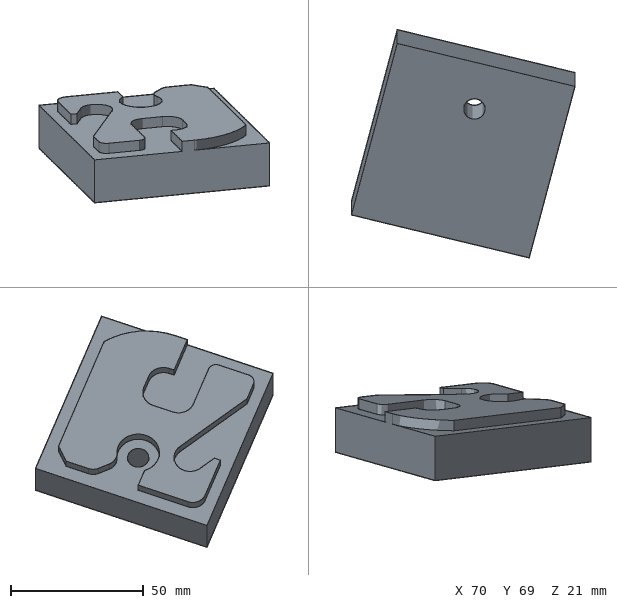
import cadquery as cq
import math

length = 70.0
width = 69.0
total_height = 21.0
plate_height = 4.0
block_height = total_height - plate_height

plate_left = 5.0
plate_top = 29.0
plate_bottom = -30.0
corner_size = 5.0

hole_x = 18.0
hole_diameter = 8.0
clearance_radius = hole_diameter
ledge_y = -5.0

nose_radius = 5.0
nose_y = 12.0

shoulder_radius = 30.0
shoulder_y = 5.0

hook_left = 39.0
hook_right = 56.0
hook_top = 8.0
hook_bottom = -12.0
hook_radius = 6.0

foot_right = 64.0
foot_radius = 3.0

slot_x = 23.0
slot_y = -19.0
slot_radius = 6.0
slot_slope = 30.0
lip_x = 26.0


def polar(center_x, center_y, radius, angle):
    """Point on a circle at an angle in degrees."""
    turn = math.radians(angle)
    return (center_x + radius * math.cos(turn), center_y + radius * math.sin(turn))


def arc(path, center_x, center_y, radius, start, end):
    """Add an arc that begins at the path's current point."""
    middle = polar(center_x, center_y, radius, (start + end) / 2)
    return path.threePointArc(middle, polar(center_x, center_y, radius, end))


def plate_outline():
    """Closed plate outline, traced clockwise from the top-left chamfer."""
    path = cq.Workplane("XY").workplane(offset=block_height)
    path = path.moveTo(plate_left + corner_size, plate_top)

    shoulder_x = length - shoulder_radius
    shoulder_start = math.degrees(math.asin((plate_top - shoulder_y) / shoulder_radius))
    path = path.lineTo(*polar(shoulder_x, shoulder_y, shoulder_radius, shoulder_start))
    path = arc(path, shoulder_x, shoulder_y, shoulder_radius, shoulder_start, 0)
    path = path.lineTo(length, 0)

    hook_upper_y = hook_top - hook_radius
    hook_lower_y = hook_bottom + hook_radius
    hook_left_x = hook_left + hook_radius
    hook_right_x = hook_right - hook_radius
    path = path.lineTo(hook_right, 0).lineTo(hook_right, hook_upper_y)
    path = arc(path, hook_right_x, hook_upper_y, hook_radius, 0, 90)
    path = path.lineTo(hook_left_x, hook_top)
    path = arc(path, hook_left_x, hook_upper_y, hook_radius, 90, 180)
    path = path.lineTo(hook_left, hook_lower_y)
    path = arc(path, hook_left_x, hook_lower_y, hook_radius, 180, 270)

    foot_x = foot_right - foot_radius
    foot_upper_y = hook_bottom - foot_radius
    foot_lower_y = plate_bottom + foot_radius
    path = path.lineTo(foot_x, hook_bottom)
    path = arc(path, foot_x, foot_upper_y, foot_radius, 90, 0)
    path = path.lineTo(foot_right, foot_lower_y)
    path = arc(path, foot_x, foot_lower_y, foot_radius, 0, -90)

    slope = math.tan(math.radians(slot_slope))
    upper_angle = 90 - slot_slope
    lower_angle = upper_angle + 180
    upper_x, upper_y = polar(slot_x, slot_y, slot_radius, upper_angle)
    lower_x, lower_y = polar(slot_x, slot_y, slot_radius, lower_angle)
    path = path.lineTo(upper_x + (upper_y - plate_bottom) / slope, plate_bottom)
    path = path.lineTo(upper_x, upper_y)
    path = arc(path, slot_x, slot_y, slot_radius, upper_angle, lower_angle)
    path = path.lineTo(lip_x, lower_y - (lip_x - lower_x) * slope)
    path = path.lineTo(lip_x, plate_bottom)

    corner_x = plate_left + corner_size
    corner_y = plate_bottom + corner_size
    path = path.lineTo(corner_x, plate_bottom)
    path = arc(path, corner_x, corner_y, corner_size, 270, 180)
    path = path.lineTo(plate_left, ledge_y)

    nose_reach = clearance_radius + nose_radius
    nose_angle = 180 - math.degrees(math.asin(nose_y / nose_reach))
    ledge_angle = -180 - math.degrees(math.asin(ledge_y / clearance_radius))
    path = path.lineTo(*polar(hole_x, 0, clearance_radius, ledge_angle))
    path = arc(path, hole_x, 0, clearance_radius, ledge_angle, nose_angle)

    nose_x = polar(hole_x, 0, nose_reach, nose_angle)[0]
    blend_x = plate_left + nose_radius
    blend_y = nose_y + nose_x - blend_x
    path = arc(path, nose_x, nose_y, nose_radius, nose_angle + 180, 225)
    path = path.lineTo(*polar(blend_x, blend_y, nose_radius, 225))
    path = arc(path, blend_x, blend_y, nose_radius, 225, 180)
    return path.lineTo(plate_left, plate_top - corner_size).close()


block = cq.Workplane("XY").box(length, width, block_height, centered=(False, True, False))
plate = plate_outline().extrude(plate_height)
hole = cq.Workplane("XY").center(hole_x, 0).circle(hole_diameter / 2).extrude(total_height)

result = block.union(plate).cut(hole)